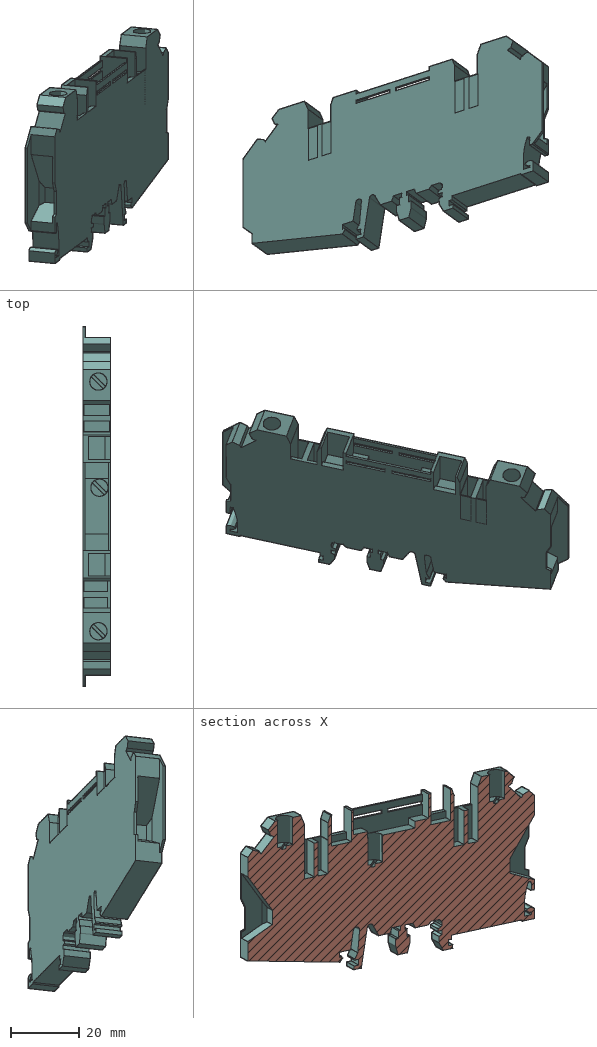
import cadquery as cq

LENGTH = 105.2
WIDTH = 8.1
HEIGHT = 51.8

HALF = LENGTH / 2
PLATE = 0.7
END_STEP = 3.2
BODY_HALF = HALF - END_STEP

GAP_FLOOR = 42.3
BLOCK_TOP = 49.9
CHANNEL_TOP = 48.6
SHOULDER_TOP = 39.0

GAP_OUTER = 29.8
GAP_INNER = 21.8
BLOCK_EDGE = 20.9
CHANNEL_HALF = 12.8

END_BOTTOM = 16.2
SLIT_TOP = 13.2
RECESS_TOP = 10.5
LAND = 8.9
HOOK_LIP = 1.3
HOOK_THROAT = 2.9

FOOT_Y = -4.0
FOOT_NECK = 0.8
FOOT_COLLAR = 1.6
FOOT_HEAD = 2.5
FOOT_TIP = 1.7
FOOT_COLLAR_TOP = 9.3
FOOT_HEAD_TOP = 6.9
FOOT_TAPER_START = 4.6
FOOT_BOTTOM = 1.7

LABEL_HOOK_TOP = 7.6
LABEL_HOOK_BOTTOM = 3.8
LABEL_HOOK_FLOOR = 5.4
LABEL_HOOK_SHOULDER = 6.9
LABEL_LEG_Y = -46.0
LABEL_SLIT_Y = -48.2
LABEL_TAIL_Z = 12.8

TERMINAL_Y = 36.5
TERMINAL_X = 4.5
CENTRE_SCREW_X = 4.8
CENTRE_SCREW_Y = 5.5
SCREW_RADIUS = 2.5
WELL_DEPTH = 8.4
DRIVE_WIDTH = 0.9
DRIVE_DEPTH = 0.8
DRIVE_ANGLE = -45

POCKET_LENGTH = 3.2
POCKET_DEPTH = 10.5
POCKET_SILL_FAR = 0.1
POCKET_SILL_NEAR = 0
POCKET_X = 0.3
POCKET_RIGHT_FAR = 7.8
POCKET_RIGHT_NEAR = 7.2

MARKER_WALL_X = 1.6
MARKER_LEDGE_X = 6.5
MARKER_INNER = 13.8
MARKER_OUTER = 20.4
MARKER_LEDGE_Z = GAP_FLOOR
MARKER_FLOOR_Z = 40.2

CHANNEL_WALL = 0.6
CHANNEL_FLOOR = 42.3
WELL_HALF = 8.1
WELL_FLOOR = 40.2
SLOT_INNER = 1.0
SLOT_BOTTOM = 45.4
SLOT_TOP = 46.5

ENTRY_X = (PLATE, 7.4)
ENTRY_Z = (16.0, 36.2)
ENTRY_INNER_X = (2.0, 6.7)
ENTRY_INNER_Z = (19.7, 24.2)
ENTRY_DEPTH = 8.4
ENTRY_TAPER = 1.5
ENTRY_NOTCH_Z = (17.9, 28.2)
ENTRY_NOTCH_INNER_Z = (18.4, 25.4)
ENTRY_NOTCH_DEPTH = 1.4


def box(x, y, z):
    """Axis-aligned box from (low, high) ranges."""
    size = [high - low for low, high in (x, y, z)]
    return cq.Workplane("XY").box(*size, centered=False).translate((x[0], y[0], z[0]))


def mirrored(points):
    """Mirror outline points to the other end and reverse their order."""
    return [(-y, z) for y, z in reversed(points)]


def side_outline(thickness):
    """Complete side outline of the terminal, extruded from X = 0."""
    top_half = [
        (HALF, SHOULDER_TOP),
        (47.5, 44.2),
        (45.3, 43.3),
        (44.8, 42.5),
        (40.4, 46.9),
        (41.6, 47.4),
        (42.4, 49.4),
        (40.0, HEIGHT),
        (31.0, HEIGHT),
        (GAP_OUTER, 48.7),
        (GAP_OUTER, GAP_FLOOR),
        (GAP_INNER, GAP_FLOOR),
        (GAP_INNER, 47.7),
        (BLOCK_EDGE, BLOCK_TOP),
        (CHANNEL_HALF, BLOCK_TOP),
        (CHANNEL_HALF, CHANNEL_TOP),
    ]
    label_slit = [
        (-49.1, LABEL_TAIL_Z),
        (LABEL_SLIT_Y, LABEL_TAIL_Z),
        (LABEL_SLIT_Y, 15.1),
    ]
    label_hook = [
        (LABEL_LEG_Y, LABEL_HOOK_FLOOR),
        (LABEL_SLIT_Y, LABEL_HOOK_FLOOR),
        (LABEL_SLIT_Y, 6.0),
        (-47.7, 6.0),
        (-46.5, 6.8),
        (-46.8, 7.3),
    ]
    label_hook_bottom = [
        (-BODY_HALF, LABEL_HOOK_BOTTOM),
        (-45.2, LABEL_HOOK_BOTTOM),
        (-45.0, 4.2),
    ]
    fixed_rail_hook = [
        (-20.8, 4.2),
        (-20.8, HOOK_THROAT),
        (-19.9, HOOK_THROAT),
        (-19.9, HOOK_LIP),
        (-21.3, HOOK_LIP),
        (-21.3, 0),
        (-17.9, 0),
        (-16.4, 2.7),
        (-16.4, 4.7),
        (-17.5, 5.2),
        (-17.5, 6.3),
        (-16.0, 6.3),
        (-16.0, 7.3),
        (-17.0, 7.6),
        (-17.5, 8.1),
    ]
    lands_to_foot = [
        (-13.8, 9.9),
        (-12.7, LAND),
        (-8.3, LAND),
        (-7.5, RECESS_TOP),
    ]
    foot_side = [
        (FOOT_NECK, RECESS_TOP),
        (FOOT_NECK, FOOT_COLLAR_TOP),
        (FOOT_COLLAR, FOOT_COLLAR_TOP),
        (FOOT_COLLAR, FOOT_HEAD_TOP),
        (FOOT_HEAD, FOOT_HEAD_TOP),
        (FOOT_HEAD, FOOT_TAPER_START),
        (FOOT_TIP, FOOT_BOTTOM),
    ]
    foot = [(FOOT_Y + y, z) for y, z in mirrored(foot_side[::-1]) + foot_side[::-1]]
    foot_to_slit = [
        (-0.3, RECESS_TOP),
        (0.3, LAND),
        (4.3, LAND),
        (6.3, 12.6),
    ]
    spring_leg = [
        (10.2, 0),
        (12.8, 0),
        (12.8, HOOK_LIP),
        (11.3, HOOK_LIP),
        (11.3, HOOK_THROAT),
        (12.5, HOOK_THROAT),
        (12.5, 3.4),
        (11.6, 5.2),
        (10.9, 12.2),
    ]
    sloped_bottom = [
        (13.9, 6.4),
        (17.7, 6.4),
        (17.7, 4.9),
        (17.1, 5.2),
        (16.6, 4.4),
        (17.7, 3.3),
        (BODY_HALF, 9.9),
        (BODY_HALF, SLIT_TOP),
        (HALF, END_BOTTOM),
    ]
    outline = (
        cq.Workplane("YZ")
        .polyline(top_half + mirrored(top_half) + [(-HALF, END_BOTTOM)] + label_slit)
        .threePointArc((-47.8, 15.7), (-47.2, 15.5))
        .threePointArc((-46.2, 11.5), (LABEL_LEG_Y, 7.4))
        .polyline(label_hook, includeCurrent=True)
        .threePointArc((-48.4, LABEL_HOOK_TOP), (-BODY_HALF, LABEL_HOOK_SHOULDER))
        .polyline(label_hook_bottom + fixed_rail_hook, includeCurrent=True)
        .threePointArc((-17.3, 9.3), (-16.5, 9.9))
        .polyline(lands_to_foot + foot + foot_to_slit, includeCurrent=True)
        .threePointArc((7.2, SLIT_TOP), (8.1, 12.5))
        .polyline(spring_leg, includeCurrent=True)
        .threePointArc((12.0, SLIT_TOP), (12.9, 12.4))
        .polyline(sloped_bottom, includeCurrent=True)
        .close()
    )
    return outline.extrude(thickness)


def screw_well(x, y, rim_z, floor_z):
    """Round well whose floor is a screw head with a diagonal drive slot."""
    well = (
        cq.Workplane("XY", origin=(x, y, floor_z))
        .circle(SCREW_RADIUS)
        .extrude(rim_z - floor_z)
    )
    drive = (
        cq.Workplane("XY", origin=(x, y, floor_z - DRIVE_DEPTH))
        .rect(2 * SCREW_RADIUS, DRIVE_WIDTH)
        .extrude(DRIVE_DEPTH)
        .rotate((x, y, 0), (x, y, 1), DRIVE_ANGLE)
    )
    return well.union(drive)


def contact_pockets(side, right_x, sill):
    """Two pockets in a gap floor; side is +1 or -1 along Y."""
    pockets = cq.Workplane("XY")
    for start in (GAP_INNER + sill, GAP_OUTER - POCKET_LENGTH):
        y_range = sorted((side * start, side * (start + POCKET_LENGTH)))
        pocket = box((POCKET_X, right_x), y_range, (GAP_FLOOR - POCKET_DEPTH, GAP_FLOOR))
        pockets = pockets.add(pocket)
    return pockets.combine()


def marker_recess(side):
    """Stepped recess in a marker block, open at the top and on the +X side."""
    y_range = sorted((side * MARKER_INNER, side * MARKER_OUTER))
    upper = box((MARKER_WALL_X, WIDTH), y_range, (MARKER_LEDGE_Z, BLOCK_TOP))
    lower = box((MARKER_WALL_X, MARKER_LEDGE_X), y_range, (MARKER_FLOOR_Z, MARKER_LEDGE_Z))
    return upper.union(lower)


def wall_slot(side):
    """Narrow slot through both walls of the centre channel."""
    y_range = sorted((side * SLOT_INNER, side * CHANNEL_HALF))
    return box((0, WIDTH), y_range, (SLOT_BOTTOM, SLOT_TOP))


def centre_channel():
    """Open channel between the marker blocks with a deeper middle stretch."""
    x_range = (CHANNEL_WALL, WIDTH - CHANNEL_WALL)
    channel = box(x_range, (-CHANNEL_HALF, CHANNEL_HALF), (CHANNEL_FLOOR, CHANNEL_TOP))
    middle = box(x_range, (-WELL_HALF, WELL_HALF), (WELL_FLOOR, CHANNEL_FLOOR))
    return channel.union(middle)


def wire_entry():
    """Funnel into the -Y end face, with a notch through its +X wall."""
    def frame(x, z, y):
        corners = ((x[0], z[0]), (x[1], z[0]), (x[1], z[1]), (x[0], z[1]))
        return cq.Wire.makePolygon([cq.Vector(cx, y, cz) for cx, cz in corners], close=True)

    part_way = 1 - ENTRY_TAPER / ENTRY_DEPTH
    throat_z = [start + part_way * (end - start) for start, end in zip(ENTRY_Z, ENTRY_INNER_Z)]
    mouth = frame(ENTRY_X, ENTRY_Z, -BODY_HALF)
    throat = frame(ENTRY_X, throat_z, -BODY_HALF + ENTRY_DEPTH - ENTRY_TAPER)
    inner = frame(ENTRY_INNER_X, ENTRY_INNER_Z, -BODY_HALF + ENTRY_DEPTH)
    funnel = cq.Workplane(cq.Solid.makeLoft([mouth, throat], True))
    funnel = funnel.union(cq.Workplane(cq.Solid.makeLoft([throat, inner], True)))
    notch_x = (ENTRY_INNER_X[1], WIDTH)
    notch_mouth = frame(notch_x, ENTRY_NOTCH_Z, -BODY_HALF)
    notch_end = frame(notch_x, ENTRY_NOTCH_INNER_Z, -BODY_HALF + ENTRY_NOTCH_DEPTH)
    return funnel.union(cq.Workplane(cq.Solid.makeLoft([notch_mouth, notch_end], True)))


body_limits = box((0, WIDTH), (-BODY_HALF, BODY_HALF), (0, HEIGHT))
result = side_outline(WIDTH).intersect(body_limits).union(side_outline(PLATE))

for end, pocket_right, pocket_sill in (
    (1, POCKET_RIGHT_FAR, POCKET_SILL_FAR),
    (-1, POCKET_RIGHT_NEAR, POCKET_SILL_NEAR),
):
    result = result.cut(screw_well(TERMINAL_X, end * TERMINAL_Y, HEIGHT, HEIGHT - WELL_DEPTH))
    result = result.cut(contact_pockets(end, pocket_right, pocket_sill))
    result = result.cut(marker_recess(end))
    result = result.cut(wall_slot(end))

result = result.cut(centre_channel())
result = result.cut(screw_well(CENTRE_SCREW_X, CENTRE_SCREW_Y, WELL_FLOOR, WELL_FLOOR - WELL_DEPTH))

entry = wire_entry()
result = result.cut(entry).cut(entry.mirror("XZ"))